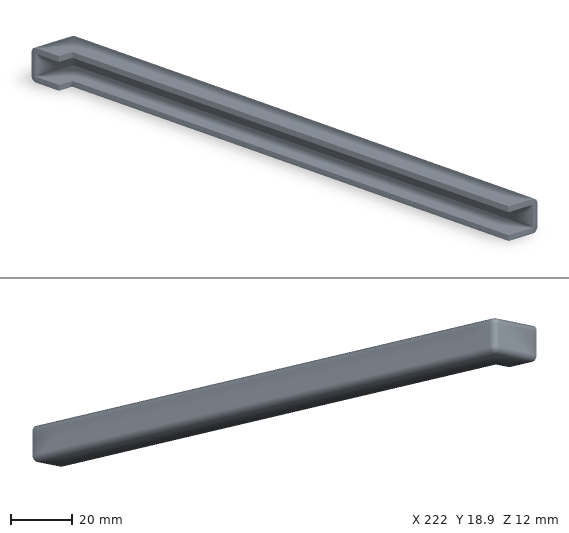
import cadquery as cq

length = 222.0
head_depth = 18.9
height = 12.0

rail_depth = 12.9
head_length = 13.0

wall = 2.0
edge_radius = wall


def make_body():
    """L-shaped bar with rounded edges around its end face and back face."""
    step_y = head_depth - rail_depth
    outline = [
        (0, 0),
        (head_length, 0),
        (head_length, step_y),
        (length, step_y),
        (length, head_depth),
        (0, head_depth),
    ]
    bar = cq.Workplane("XY").polyline(outline).close().extrude(height)
    end_edges = bar.faces("<X").edges("|Y or >Y")
    back_edges = bar.faces(">Y").edges("|X")
    return bar.newObject(end_edges.vals() + back_edges.vals()).fillet(edge_radius)


def make_channel():
    """Slot between the flanges, open to the front and at the +X end."""
    return cq.Workplane("XY").box(
        length - wall,
        head_depth - wall,
        height - 2 * wall,
        centered=False,
    ).translate((wall, 0, wall))


result = make_body().cut(make_channel())